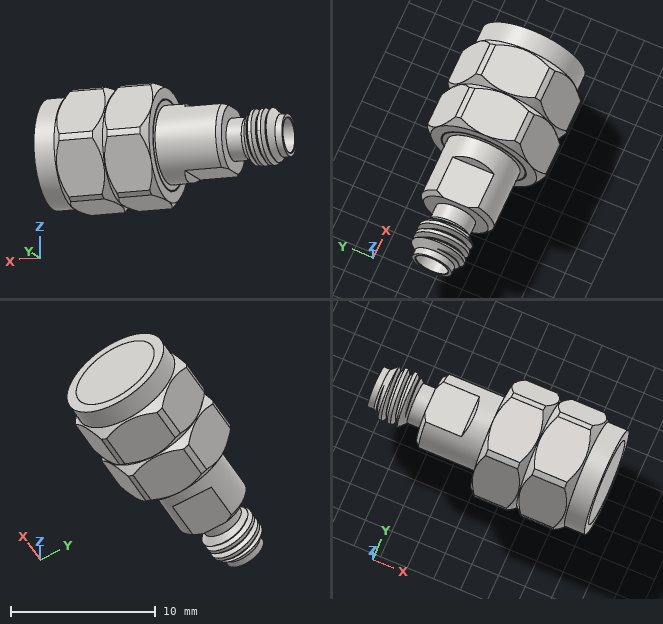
import cadquery as cq
import math


total_length = 17.35
thread_start = 0.5
thread_end = 2.98
barrel_start = 4.1
nut_start = 8.85
groove_x = 12.28
hex_end = 15.85

tip_radius = 1.5
barrel_radius = 2.75
barrel_chamfer = 0.31
shank_radius = 3.14
flat_half_height = 2.27
flat_end = 7.1
flat_runout_angle = 60.0

thread_radius = 2.01
thread_pitch = 0.7
thread_depth = 0.35
thread_crest_width = 0.26
thread_flank_angle = 30.0
thread_groove_x = 2.03
thread_overrun = 0.6 * thread_pitch
cut_clearance = 0.09

socket_radius = 1.21
socket_chamfer = 0.05
socket_depth = 2.08
coax_radius = 0.5
coax_depth = 0.52
contact_radius = 0.25
contact_hole_radius = 0.14
contact_hole_depth = 0.35

across_flats = 8.0
corner_radius = 4.485
hex_turn = 1.3
sleeve_radius = 3.9
groove_radius = 3.94
relief_radius = 3.21
relief_depth = 0.17


def revolve_about_x(points):
    """Solid of revolution about X from (x, radius) points."""
    return cq.Workplane("XY").polyline(points).close().revolve(360, (0, 0, 0), (1, 0, 0))


def rod(radius, start, end):
    """Cylinder along X between two stations."""
    return cq.Workplane("YZ").workplane(offset=start).circle(radius).extrude(end - start)


def make_helical_solid(profile, pitch, length):
    """Solid swept by a polygon of (radius, height) corners climbing a helix about Z."""
    edges = [
        cq.Wire.makeHelix(pitch, length, radius).translate(cq.Vector(0, 0, height))
        for radius, height in profile
    ]
    faces = [
        cq.Face.makeRuledSurface(edge, next_edge)
        for edge, next_edge in zip(edges, edges[1:] + edges[:1])
    ]
    for corners in ([edge.startPoint() for edge in edges], [edge.endPoint() for edge in edges]):
        faces.append(cq.Face.makeFromWires(cq.Wire.makePolygon(corners, close=True)))
    return cq.Solid.makeSolid(cq.Shell.makeShell(faces)).fix()


def make_thread_groove():
    """Right-handed helical groove, running out past both ends of the threaded length."""
    root_radius = thread_radius - thread_depth
    outer_radius = thread_radius + cut_clearance
    flank_slope = math.tan(math.radians(thread_flank_angle))
    mouth_half_width = (thread_pitch - thread_crest_width) / 2
    root_half_width = mouth_half_width - thread_depth * flank_slope
    outer_half_width = mouth_half_width + cut_clearance * flank_slope

    helix_start = thread_start - thread_overrun
    helix_length = thread_end + thread_overrun - helix_start
    profile = [
        (root_radius, -root_half_width),
        (outer_radius, -outer_half_width),
        (outer_radius, outer_half_width),
        (root_radius, root_half_width),
    ]
    groove = cq.Workplane(obj=make_helical_solid(profile, thread_pitch, helix_length))
    start_turns = 0.5 + (helix_start - thread_groove_x) / thread_pitch
    return (
        groove.rotate((0, 0, 0), (0, 1, 0), 90)
        .rotate((0, 0, 0), (1, 0, 0), 360 * start_turns)
        .translate((helix_start, 0, 0))
    )


def make_threaded_length():
    """Threaded collar with 45 degree ends."""
    end_chamfer = thread_radius - tip_radius
    collar = revolve_about_x([
        (thread_start, 0),
        (thread_start, tip_radius),
        (thread_start + end_chamfer, thread_radius),
        (thread_end - end_chamfer, thread_radius),
        (thread_end, tip_radius),
        (thread_end, 0),
    ])
    return collar.cut(make_thread_groove())


def make_turned_blank():
    """Tip, barrel with a chamfered front edge, and the shank inside the nut."""
    return revolve_about_x([
        (0, 0),
        (0, tip_radius),
        (barrel_start, tip_radius),
        (barrel_start, barrel_radius - barrel_chamfer),
        (barrel_start + barrel_chamfer, barrel_radius),
        (nut_start, barrel_radius),
        (nut_start, shank_radius),
        (total_length, shank_radius),
        (total_length, 0),
    ])


def make_wrench_flat_cut():
    """Material removed above the upper flat, with a sloped run-out."""
    cut_height = barrel_radius - flat_half_height + cut_clearance
    runout = cut_height / math.tan(math.radians(flat_runout_angle))
    cut_top = flat_half_height + cut_height
    return (
        cq.Workplane("XZ")
        .polyline([
            (barrel_start, flat_half_height),
            (flat_end, flat_half_height),
            (flat_end + runout, cut_top),
            (barrel_start, cut_top),
        ])
        .close()
        .extrude(barrel_radius, both=True)
    )


def make_socket():
    """Chamfered socket, the coaxial space at its floor, and the bored contact left standing in it."""
    coax_end = socket_depth + coax_depth
    socket = revolve_about_x([
        (0, 0),
        (0, socket_radius + socket_chamfer),
        (socket_chamfer, socket_radius),
        (socket_depth, socket_radius),
        (socket_depth, coax_radius),
        (coax_end, coax_radius),
        (coax_end, 0),
    ])
    contact = rod(contact_radius, socket_depth, coax_end)
    contact_hole = rod(contact_hole_radius, socket_depth, socket_depth + contact_hole_depth)
    return socket.cut(contact.cut(contact_hole))


def make_connector_body():
    upper_flat_cut = make_wrench_flat_cut()
    return (
        make_turned_blank()
        .union(make_threaded_length())
        .cut(upper_flat_cut)
        .cut(upper_flat_cut.mirror("XY"))
        .cut(make_socket())
    )


def make_nut_envelope():
    """Turned outline of the nut: rounded corners, 45 degree ends and a V groove between the hexagons."""
    front_radius = across_flats / 2
    return revolve_about_x([
        (nut_start, 0),
        (nut_start, front_radius),
        (nut_start + corner_radius - front_radius, corner_radius),
        (groove_x - (corner_radius - groove_radius), corner_radius),
        (groove_x, groove_radius),
        (groove_x + (corner_radius - groove_radius), corner_radius),
        (hex_end - (corner_radius - sleeve_radius), corner_radius),
        (hex_end, sleeve_radius),
        (total_length, sleeve_radius),
        (total_length, 0),
    ])


def make_coupling_nut():
    across_corners = across_flats / math.cos(math.pi / 6)
    hexagon = (
        cq.Workplane("YZ")
        .workplane(offset=nut_start)
        .polygon(6, across_corners)
        .extrude(total_length - nut_start)
        .rotate((0, 0, 0), (1, 0, 0), hex_turn)
    )
    return (
        make_nut_envelope()
        .intersect(hexagon)
        .cut(rod(shank_radius, nut_start, total_length))
        .cut(rod(relief_radius, nut_start, nut_start + relief_depth))
    )


connector_body = make_connector_body()
coupling_nut = make_coupling_nut()

result = cq.Compound.makeCompound([connector_body.val(), coupling_nut.val()])